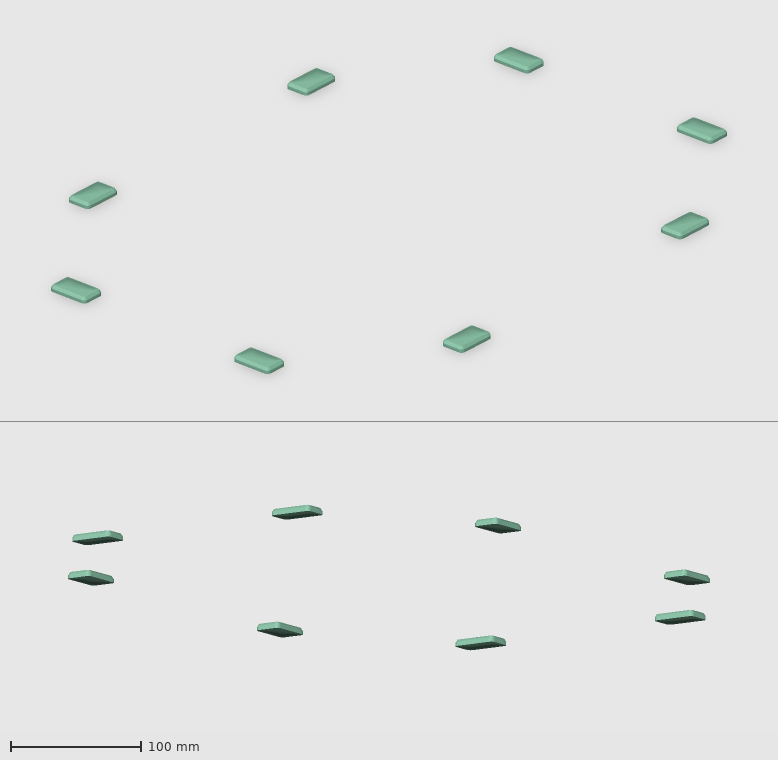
import cadquery as cq

overall_x = 400.0
overall_y = 543.0

pad_length = 36.0
pad_width = 21.0
pad_height = 5.2
corner_radius = 3.0
bevel_height = 2.45
bevel_inset = 1.5

end_pad_x = 93.0
end_pad_y = (overall_y - pad_width) / 2
side_pad_x = (overall_x - pad_width) / 2
side_pad_y = 128.5


def make_pad(size_x, size_y, center_x, center_y):
    """One pad standing on the plane Z = 0, centred at the given place."""
    block = cq.Workplane("XY").box(size_x, size_y, pad_height, centered=(True, True, False))
    rounded = block.edges("|Z").fillet(corner_radius)
    bevelled = rounded.faces(">Z").edges().chamfer(bevel_height, bevel_inset)
    return bevelled.translate((center_x, center_y, 0))


pads = []
for x_sign in (-1, 1):
    for y_sign in (-1, 1):
        end_pad = make_pad(pad_length, pad_width, x_sign * end_pad_x, y_sign * end_pad_y)
        side_pad = make_pad(pad_width, pad_length, x_sign * side_pad_x, y_sign * side_pad_y)
        pads.append(end_pad.val())
        pads.append(side_pad.val())

result = cq.Compound.makeCompound(pads)